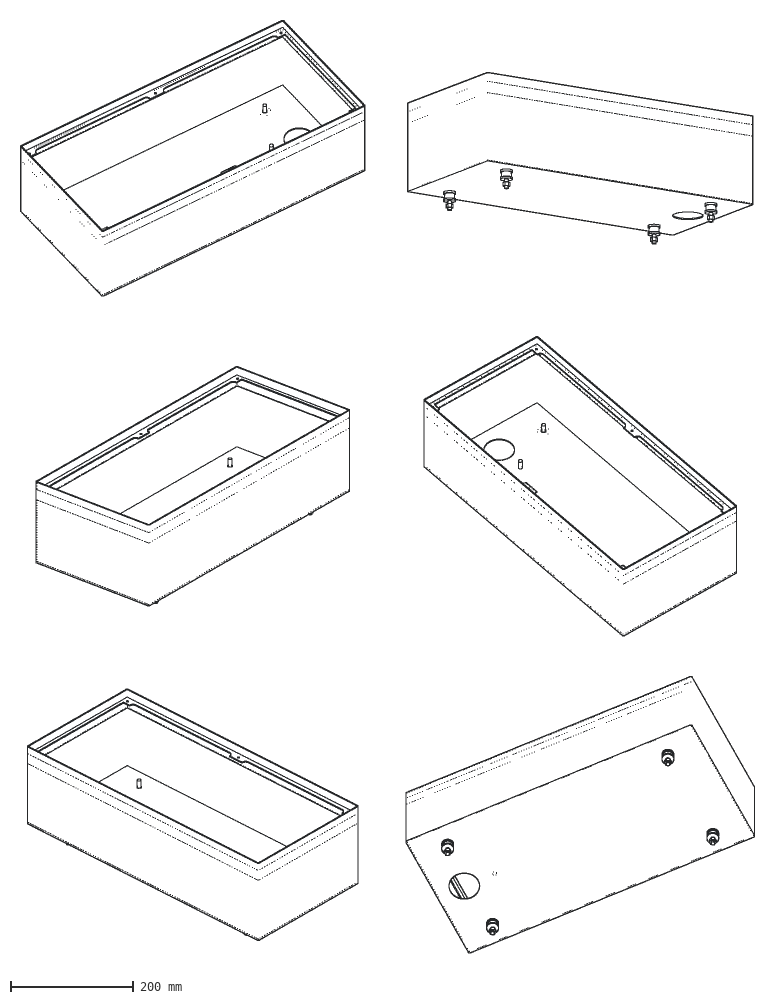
import cadquery as cq

LENGTH = 520.0
WIDTH = 240.0
HEIGHT = 150.0
SHEET = 2.0
CORNER_RADIUS = 2.5

FRAME_DEPTH = 14.5
FRAME_HEIGHT = 19.0
SIDE_FLANGE = 9.5
END_FLANGE = 8.0
TAB_REACH = 17.0
TAB_HALF_LENGTH = 14.0
TAB_RADIUS = 7.0
CORNER_TAB_LENGTH = 21.5
LID_HOLE_DIAMETER = 3.3
LID_HOLE_INSET = 11.0

CABLE_HOLE_DIAMETER = 50.0
CABLE_HOLE_Y = 210.5
EARTH_STUD_DIAMETER = 7.0
EARTH_STUD_HEIGHT = 15.0
EARTH_STUD_Y = 155.5

MOUNT_PITCH_X = 169.5
MOUNT_PITCH_Y = 400.0
MOUNT_HEIGHT = 15.0
PLATE_DIAMETER = 20.0
PLATE_THICKNESS = 3.0
CORE_DIAMETER = 16.0
STUD_DIAMETER = 6.0
STUD_REACH = 30.0
STUD_RISE = 15.0
STUD_HOLE_DIAMETER = 8.0
NUT_WIDTH = 10.0
NUT_HEIGHT = 6.0
NUT_TURN = 90
NUT_DEPTH = 26.5

FRAME_TOP = HEIGHT - FRAME_DEPTH
MOUNT_POINTS = [
    (x_side * MOUNT_PITCH_X / 2, y_side * MOUNT_PITCH_Y / 2) for x_side in (-1, 1) for y_side in (-1, 1)
]


def rounded_block(inset, bottom, top):
    """Block with rounded upright edges, set in from the outer faces of the housing."""
    return (
        cq.Workplane("XY", origin=(0, 0, bottom))
        .rect(WIDTH - 2 * inset, LENGTH - 2 * inset)
        .extrude(top - bottom)
        .edges("|Z")
        .fillet(CORNER_RADIUS - inset)
    )


def side_opening(side, end):
    """Bay of the frame opening between a corner tab and the middle tab."""
    edge = side * (WIDTH / 2 - SIDE_FLANGE)
    arc_edge = side * (WIDTH / 2 - SIDE_FLANGE - TAB_RADIUS)
    near = end * TAB_HALF_LENGTH
    far = end * (LENGTH / 2 - CORNER_TAB_LENGTH)
    radius = end * TAB_RADIUS
    return (
        cq.Workplane("XY", origin=(0, 0, FRAME_TOP - SHEET))
        .moveTo(0, near)
        .lineTo(arc_edge, near)
        .radiusArc((edge, near + radius), -side * end * TAB_RADIUS)
        .lineTo(edge, far - radius)
        .radiusArc((arc_edge, far), -side * end * TAB_RADIUS)
        .lineTo(0, far)
        .close()
        .extrude(SHEET)
    )


def make_frame():
    """Angle frame: a flange with screw tabs on top and a leg lying against the walls."""
    bottom = FRAME_TOP - FRAME_HEIGHT
    frame = rounded_block(SHEET, bottom, FRAME_TOP)
    under_flange = cq.Workplane("XY", origin=(0, 0, bottom)).rect(
        WIDTH - 4 * SHEET, LENGTH - 4 * SHEET
    ).extrude(FRAME_HEIGHT - SHEET)
    opening = cq.Workplane("XY", origin=(0, 0, FRAME_TOP - SHEET)).rect(
        WIDTH - 2 * TAB_REACH, LENGTH - 2 * END_FLANGE
    ).extrude(SHEET)
    frame = frame.cut(under_flange).cut(opening)
    for side in (-1, 1):
        for end in (-1, 1):
            frame = frame.cut(side_opening(side, end))

    hole_x = WIDTH / 2 - LID_HOLE_INSET
    hole_y = LENGTH / 2 - LID_HOLE_INSET
    lid_holes = (
        cq.Workplane("XY", origin=(0, 0, FRAME_TOP - SHEET))
        .pushPoints([(x, y) for x in (-hole_x, hole_x) for y in (-hole_y, 0, hole_y)])
        .circle(LID_HOLE_DIAMETER / 2)
        .extrude(SHEET)
    )
    return frame.cut(lid_holes)


def make_housing():
    """Open box with the lid frame, the earth stud and the floor holes."""
    box = rounded_block(0, 0, HEIGHT).cut(rounded_block(SHEET, SHEET, HEIGHT))
    earth_stud = (
        cq.Workplane("XY", origin=(0, EARTH_STUD_Y, SHEET))
        .circle(EARTH_STUD_DIAMETER / 2)
        .extrude(EARTH_STUD_HEIGHT)
    )
    cable_hole = (
        cq.Workplane("XY").center(0, CABLE_HOLE_Y).circle(CABLE_HOLE_DIAMETER / 2).extrude(SHEET)
    )
    stud_holes = (
        cq.Workplane("XY").pushPoints(MOUNT_POINTS).circle(STUD_HOLE_DIAMETER / 2).extrude(SHEET)
    )
    return box.union(make_frame()).union(earth_stud).cut(cable_hole).cut(stud_holes)


def cylinder(diameter, bottom, top):
    """Upright cylinder on the Z axis."""
    return cq.Workplane("XY", origin=(0, 0, bottom)).circle(diameter / 2).extrude(top - bottom)


def make_mount(point):
    """Rubber core between two round plates, with a stud through the axis."""
    core = cylinder(CORE_DIAMETER, -MOUNT_HEIGHT, 0)
    upper_plate = cylinder(PLATE_DIAMETER, -PLATE_THICKNESS, 0)
    lower_plate = cylinder(PLATE_DIAMETER, -MOUNT_HEIGHT, PLATE_THICKNESS - MOUNT_HEIGHT)
    stud = cylinder(STUD_DIAMETER, -STUD_REACH, STUD_RISE)
    mount = core.union(upper_plate).union(lower_plate).union(stud)
    return mount.translate((*point, 0))


def make_nut(point):
    """Hexagon nut on the lower end of a mount's stud."""
    return (
        cq.Workplane("XY", origin=(*point, -NUT_DEPTH))
        .transformed(rotate=(0, 0, NUT_TURN))
        .polygon(6, NUT_WIDTH, circumscribed=True)
        .circle(STUD_DIAMETER / 2)
        .extrude(NUT_HEIGHT)
    )


housing = make_housing()
mounts = [make_mount(point) for point in MOUNT_POINTS]
nuts = [make_nut(point) for point in MOUNT_POINTS]

result = cq.Compound.makeCompound(
    [housing.val()] + [mount.val() for mount in mounts] + [nut.val() for nut in nuts]
)